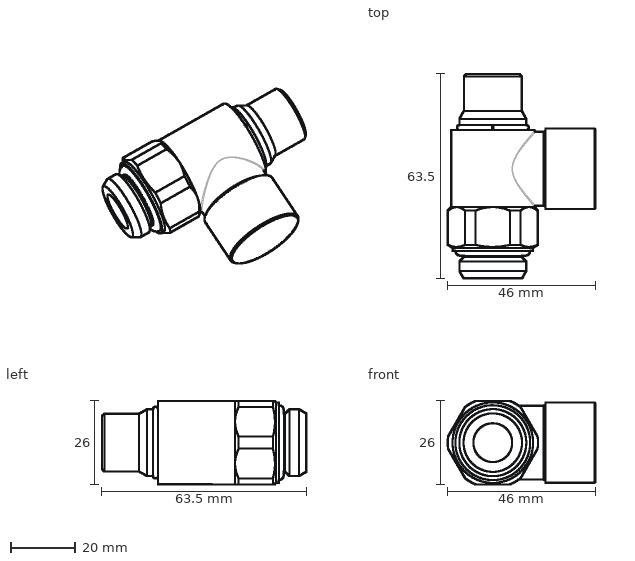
import cadquery as cq
import math


overall_length = 63.5
tip_end = 29.45
tip_chamfer = 0.75
tip_cone_end = 18.0
collar_start = 15.5
shoulder = 12.05
hex_start = -11.9
hex_end = -24.5
flange_end = -25.45
neck_end = -27.4
rim_start = -28.7
rim_end = -31.75
open_end = tip_end - overall_length

tip_radius = 9.0
thread_radius = 10.4
flange_radius = 12.5
open_end_radius = 9.1
bore_radius = 6.05

hex_across_flats = 26.0
stem_radius = hex_across_flats / 2
hex_corner_radius = 14.05
hex_back_chamfer = 1.1
hex_front_chamfer = 0.9

bead_radius = 1.5
bead_centre_radius = 10.1

overall_width = 46.0
branch_end = overall_width - hex_corner_radius
branch_neck_radius = 11.5
branch_fillet = 0.3
branch_cone_start = 15.7
branch_cone_radius = 11.75
branch_head_start = 16.3
branch_head_radius = 12.5
branch_head_chamfer = 0.45

wire_radius = 0.75
ring_centre_y = shoulder + wire_radius
ring_gap = 0.6


def turned_on_y(points):
    """Solid of revolution about Y from (radius, y) points."""
    return cq.Workplane("XY").polyline(points).close().revolve(360, (0, 0), (0, 1))


def turned_on_x(points):
    """Solid of revolution about X from (x, radius) points."""
    return cq.Workplane("XY").polyline(points).close().revolve(360, (0, 0), (1, 0))


def torus_on_y(centre_radius, section_radius, y):
    """Full round ring about Y."""
    section = cq.Workplane("XY").center(centre_radius, y).circle(section_radius)
    return section.revolve(360, (-centre_radius, 0), (-centre_radius, 1))


def make_tee():
    """Plain stem cylinder with the branch neck blended into it."""
    stem = turned_on_y([(0, shoulder), (stem_radius, shoulder), (stem_radius, hex_start), (0, hex_start)])
    neck = cq.Workplane("YZ").circle(branch_neck_radius).extrude(branch_head_start)
    tee = stem.union(neck)
    junction = cq.selectors.BoxSelector(
        (0.65, -stem_radius, -stem_radius),
        (branch_cone_start, stem_radius, stem_radius),
    )
    seam = tee.edges(junction).edges("not %CIRCLE").edges("not %LINE")
    return seam.fillet(branch_fillet)


def make_branch_head():
    """Thick end of the branch, with a small cone leading up to it."""
    return turned_on_x([
        (branch_cone_start, 0),
        (branch_cone_start, branch_neck_radius),
        (branch_head_start, branch_cone_radius),
        (branch_head_start, branch_head_radius),
        (branch_end - branch_head_chamfer, branch_head_radius),
        (branch_end, branch_head_radius - branch_head_chamfer),
        (branch_end, 0),
    ])


def make_hexagon():
    """Wrench hexagon with flats facing +Z and -Z, its corners turned and chamfered."""
    prism = (
        cq.Workplane("XZ", origin=(0, hex_start, 0))
        .polygon(6, hex_across_flats / math.cos(math.pi / 6))
        .extrude(hex_start - hex_end)
    )
    envelope = turned_on_y([
        (0, hex_start),
        (stem_radius, hex_start),
        (hex_corner_radius, hex_start - hex_back_chamfer),
        (hex_corner_radius, hex_end + hex_front_chamfer),
        (flange_radius, hex_end),
        (0, hex_end),
    ])
    return prism.intersect(envelope)


def make_tip():
    """Reduced +Y end: collar, cone and chamfered tip."""
    return turned_on_y([
        (0, shoulder),
        (thread_radius, shoulder),
        (thread_radius, collar_start),
        (tip_radius, tip_cone_end),
        (tip_radius, tip_end - tip_chamfer),
        (tip_radius - tip_chamfer, tip_end),
        (0, tip_end),
    ])


def make_spigot():
    """-Y end: flange, neck and double-coned rim."""
    return turned_on_y([
        (0, hex_end),
        (flange_radius, hex_end),
        (flange_radius, flange_end),
        (tip_radius, flange_end),
        (tip_radius, neck_end),
        (thread_radius, rim_start),
        (thread_radius, rim_end),
        (open_end_radius, open_end),
        (0, open_end),
    ])


def make_bore():
    """Blind bore from the open end to the branch axis."""
    return cq.Workplane("XZ").circle(bore_radius).extrude(-open_end)


def make_fitting():
    """Tee fitting with its bore and the groove for the snap ring."""
    bead = torus_on_y(bead_centre_radius, bead_radius, flange_end)
    fitting = make_tee()
    for section in (make_branch_head(), make_hexagon(), make_tip(), make_spigot(), bead):
        fitting = fitting.union(section)
    ring_groove = torus_on_y(thread_radius, wire_radius, ring_centre_y)
    return fitting.cut(make_bore()).cut(ring_groove)


def make_snap_ring():
    """Round-wire ring, open at its +Z side."""
    gap_block = cq.Workplane("XY").box(
        ring_gap,
        4 * wire_radius,
        2 * thread_radius,
    ).translate((0, ring_centre_y, thread_radius))
    return torus_on_y(thread_radius, wire_radius, ring_centre_y).cut(gap_block)


fitting = make_fitting()
snap_ring = make_snap_ring()
result = cq.Compound.makeCompound([*fitting.solids().vals(), *snap_ring.solids().vals()])